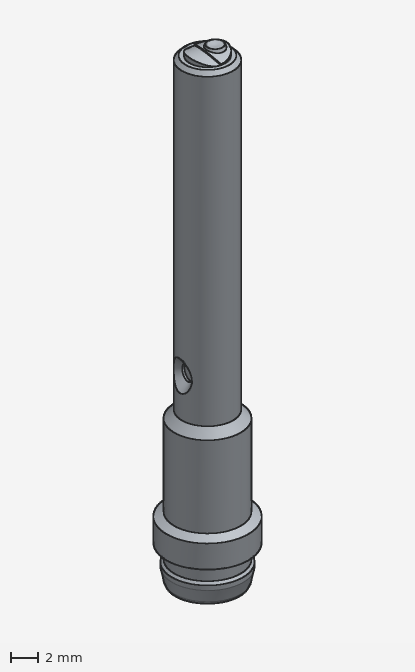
import cadquery as cq

total_height = 45.75
shaft_radius = 5.0 / 2
body_radius = 3.25
collar_radius = 8.0 / 2
lip_radius = 3.5
foot_radius = 3.25
foot_bottom_radius = 3.1

foot_chamfer_top = 0.27
lip_bottom = 1.35
lip_top = 1.8
groove_bottom = 2.0
groove_top = 3.0
collar_bottom = 3.45
collar_top = 5.67
body_bottom = 6.1
body_top = 14.05
shoulder_top = body_top + body_radius - shaft_radius
shaft_edge = 44.65
shaft_top = 45.05

side_hole_height = 18.5
side_hole_radius = 0.75
side_hole_floor = 1.55
countersink_radius = 1.45
cut_margin = 0.45

tip_radius = 1.75
tip_edge = 45.1
arch_top = 45.58
front_step = 0.1
step_sag = 0.3
eye_offset = 0.7
eye_base_radius = 1.0
eye_top_radius = 0.75
dimple_radius = 0.65
dimple_depth = 0.1


def make_stem():
    """Turned stem: foot, groove, collar, body and slender shaft."""
    profile = [
        (0, 0),
        (foot_bottom_radius, 0),
        (foot_radius, foot_chamfer_top),
        (lip_radius, lip_bottom),
        (lip_radius, lip_top),
        (body_radius, groove_bottom),
        (body_radius, groove_top),
        (collar_radius, collar_bottom),
        (collar_radius, collar_top),
        (body_radius, body_bottom),
        (body_radius, body_top),
        (shaft_radius, shoulder_top),
        (shaft_radius, shaft_edge),
        (shaft_radius - (shaft_top - shaft_edge), shaft_top),
        (0, shaft_top),
    ]
    return cq.Workplane("XZ").polyline(profile).close().revolve(360, (0, 0), (0, 1))


def make_side_hole():
    """Blind hole with a 45 degree countersink, as a body to cut away."""
    cone_end = shaft_radius - (countersink_radius - side_hole_radius)
    profile = [
        (0, -shaft_radius - cut_margin),
        (countersink_radius + cut_margin, -shaft_radius - cut_margin),
        (side_hole_radius, -cone_end),
        (side_hole_radius, -side_hole_floor),
        (0, -side_hole_floor),
    ]
    hole = cq.Workplane("XY").polyline(profile).close().revolve(360, (0, 0), (0, 1))
    return hole.translate((0, 0, side_hole_height))


def make_arch(drop):
    """Round tip whose upper face is arched across X, lowered by drop."""
    arch = (
        cq.Workplane("XZ")
        .moveTo(-tip_radius, body_top)
        .lineTo(-tip_radius, tip_edge - drop)
        .threePointArc((0, arch_top - drop), (tip_radius, tip_edge - drop))
        .lineTo(tip_radius, body_top)
        .close()
        .extrude(tip_radius, both=True)
    )
    return arch.intersect(cq.Workplane("XY").circle(tip_radius).extrude(total_height))


def make_tip():
    """Arched tip, slightly lower in front of a bowed step, with the eye behind it."""
    rear_area = (
        cq.Workplane("XY")
        .moveTo(-tip_radius, 0)
        .threePointArc((0, -step_sag), (tip_radius, 0))
        .lineTo(tip_radius, tip_radius)
        .lineTo(-tip_radius, tip_radius)
        .close()
        .extrude(total_height)
    )
    tip = make_arch(front_step).union(make_arch(0).intersect(rear_area))
    eye_profile = [
        (0, shaft_top),
        (eye_base_radius, shaft_top),
        (eye_base_radius, tip_edge + front_step),
        (eye_top_radius, total_height),
        (dimple_radius, total_height),
        (0, total_height - dimple_depth),
    ]
    eye = cq.Workplane("XZ").polyline(eye_profile).close().revolve(360, (0, 0), (0, 1))
    return tip.union(eye.translate((0, eye_offset, 0)))


result = make_stem().union(make_tip()).cut(make_side_hole())